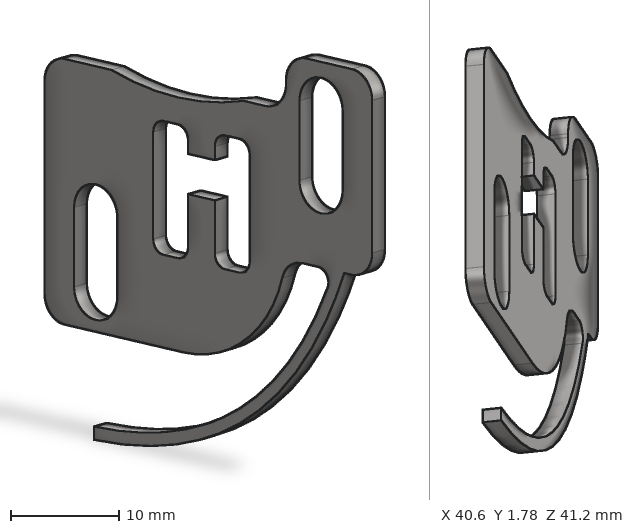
import cadquery as cq
import math

thickness = 1.78
overall_width = 40.64
body_height = 25.4
corner_radius = 2.54

slot_width = 5.334
slot_travel = 7.62
slot_inset = 6.35
slot_angle = 90
slot_rise = 15.24
lower_slot_z = 7.62
upper_slot_z = lower_slot_z + slot_rise

tab_width = 10.7
tab_left = overall_width - tab_width
tab_bottom = 11.19
tab_top = 30.86

dip_center_x = 16.51
dip_half_width = 8.2
dip_depth = 1.14

body_arc_radius = 12.7
body_arc_x = tab_left - body_arc_radius
body_arc_z = body_arc_radius

arm_thickness = 1.27
arm_root_fillet = 1.27
overall_height = 41.22
arm_tip_x = 6.13
arm_tip_z = tab_top - overall_height
arm_apex_x = 29.02
arm_apex_z = -10.0
arm_root_x = 37.18
arm_tip_angle = math.atan2(arm_apex_z - arm_tip_z, arm_apex_x - arm_tip_x)
arm_root_angle = math.atan2(tab_bottom - arm_apex_z, arm_root_x - arm_apex_x)

window_center_x = 19.46
window_width = 11.94
window_bottom = 8.89
window_height = 12.78
window_leg_width = 4.3
window_corner_radius = 1.27
crossbar_bottom = 15.24
crossbar_height = 3.84


def arc_point(center_x, center_z, radius, angle):
    """Point on a circle, with the angle in radians from +X towards +Z."""
    return center_x + radius * math.cos(angle), center_z + radius * math.sin(angle)


def arm_edge(offset):
    """Tip, apex and root of the arm's outer edge, moved inwards by the offset."""
    mean_angle = (arm_tip_angle + arm_root_angle) / 2
    half_turn = (arm_root_angle - arm_tip_angle) / 2
    apex_shift = offset / math.cos(half_turn)
    tip = (arm_tip_x, arm_tip_z + offset / math.cos(arm_tip_angle))
    apex = (
        arm_apex_x - apex_shift * math.sin(mean_angle),
        arm_apex_z + apex_shift * math.cos(mean_angle),
    )
    root = (arm_root_x - offset / math.sin(arm_root_angle), tab_bottom)
    return tip, apex, root


def plate_sketch():
    """Workplane in XZ on the +Y face, so that extrusion runs towards -Y."""
    return cq.Workplane("XZ", origin=(0, thickness / 2, 0))


def round_corners(plate, points, radius):
    """Fillet the through-thickness edges nearest the given (x, z) points."""
    for x, z in points:
        corner = cq.selectors.NearestToPointSelector((x, 0, z))
        plate = plate.edges("|Y").edges(corner).fillet(radius)
    return plate


def make_plate():
    """Body, tab and spring arm as one outline, with its corners rounded."""
    arc_start = -math.pi / 2
    arc_end = math.asin((tab_bottom - body_arc_z) / body_arc_radius)
    arc_middle = (arc_start + arc_end) / 2
    body_arc_middle = arc_point(body_arc_x, body_arc_z, body_arc_radius, arc_middle)
    body_tab_corner = arc_point(body_arc_x, body_arc_z, body_arc_radius, arc_end)
    inner_tip, inner_apex, inner_root = arm_edge(arm_thickness)
    outer_tip, outer_apex, outer_root = arm_edge(0)

    path = plate_sketch().moveTo(0, 0).lineTo(body_arc_x, 0)
    path = path.threePointArc(body_arc_middle, body_tab_corner).lineTo(*inner_root)
    path = path.bezier([inner_root, inner_apex, inner_tip]).lineTo(*outer_tip)
    path = path.bezier([outer_tip, outer_apex, outer_root])
    path = path.lineTo(overall_width, tab_bottom).lineTo(overall_width, tab_top)
    path = path.lineTo(tab_left, tab_top).lineTo(tab_left, body_height)
    path = path.lineTo(dip_center_x + dip_half_width, body_height)
    path = path.threePointArc(
        (dip_center_x, body_height - dip_depth),
        (dip_center_x - dip_half_width, body_height),
    )
    plate = path.lineTo(0, body_height).close().extrude(thickness)

    corners = [
        (0, 0),
        (0, body_height),
        (tab_left, body_height),
        (tab_left, tab_top),
        (overall_width, tab_top),
        (overall_width, tab_bottom),
        body_tab_corner,
    ]
    plate = round_corners(plate, corners, corner_radius)
    return round_corners(plate, [inner_root], arm_root_fillet)


def make_slots():
    """Two upright round-ended slots."""
    centers = [
        (slot_inset, lower_slot_z),
        (overall_width - slot_inset, upper_slot_z),
    ]
    slots = plate_sketch().pushPoints(centers)
    return slots.slot2D(slot_travel + slot_width, slot_width, slot_angle).extrude(thickness)


def make_window():
    """Two rounded upright legs joined by a square-edged crossbar."""
    leg_offset = (window_width - window_leg_width) / 2
    leg_z = window_bottom + window_height / 2
    leg_centers = [(window_center_x + side * leg_offset, leg_z) for side in (-1, 1)]
    legs = plate_sketch().pushPoints(leg_centers).rect(window_leg_width, window_height)
    legs = legs.extrude(thickness).edges("|Y").fillet(window_corner_radius)

    crossbar_z = crossbar_bottom + crossbar_height / 2
    crossbar = plate_sketch().center(window_center_x, crossbar_z)
    crossbar = crossbar.rect(2 * leg_offset, crossbar_height).extrude(thickness)
    return legs.union(crossbar)


result = make_plate().cut(make_slots()).cut(make_window())